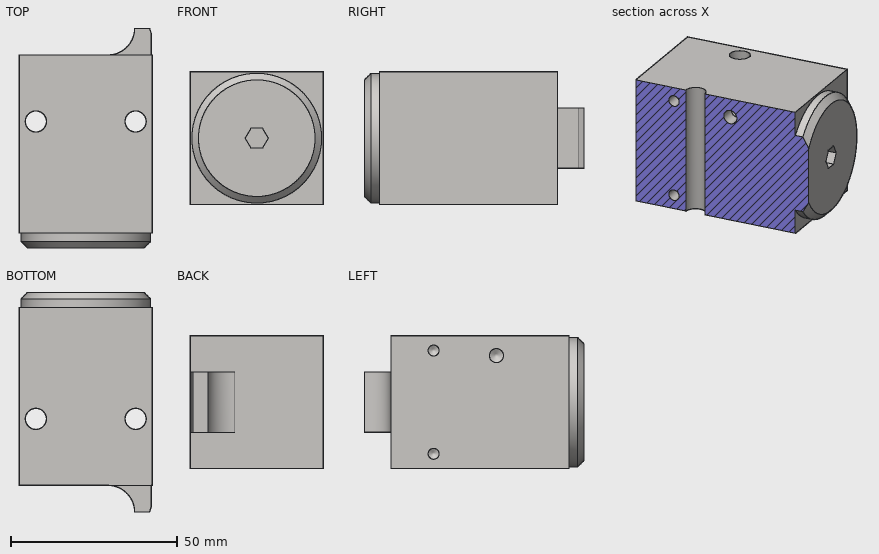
import cadquery as cq
import math

block_side = 40.0
half_side = block_side / 2
total_length = 66.0
nose_length = 8.0
cap_length = 4.5
block_length = total_length - nose_length - cap_length

cap_diameter = 39.0
cap_chamfer = 2.0
socket_flats = 6.0
socket_depth = 5.0

nose_height = 18.15
nose_inner_x = 14.65
nose_outer_x = 19.75
nose_bevel_width = 0.5
nose_bevel_length = 1.65

mount_diameter = 6.3
mount_offset = 15.0
mount_setback = 20.0

drill_depth = 9.9
drill_point_angle = 118.0
pin_setback = 12.8
pin_height = 15.5
pin_diameter = 3.3
port_setback = 31.7
port_height = 14.0
port_diameter = 4.2


def make_block():
    return cq.Workplane("XY").box(block_side, block_length, block_side).translate((0, -block_length / 2, 0))


def make_cap():
    front_face = cq.Workplane("XZ", origin=(0, -block_length, 0))
    cap = front_face.circle(cap_diameter / 2).extrude(cap_length)
    return cap.faces("<Y").chamfer(cap_chamfer)


def make_socket():
    across_corners = socket_flats / math.cos(math.radians(30))
    cap_face = cq.Workplane("XZ", origin=(0, -block_length - cap_length, 0))
    return cap_face.polygon(6, across_corners).extrude(-socket_depth)


def make_nose():
    arc_start_x = nose_inner_x - nose_length
    arc_mid_x = arc_start_x + nose_length * math.sin(math.radians(45))
    arc_mid_y = nose_length * (1 - math.cos(math.radians(45)))
    return (
        cq.Workplane("XY", origin=(0, 0, -nose_height / 2))
        .moveTo(arc_start_x, 0)
        .threePointArc((arc_mid_x, arc_mid_y), (nose_inner_x, nose_length))
        .lineTo(nose_outer_x - nose_bevel_width, nose_length)
        .lineTo(nose_outer_x, nose_length - nose_bevel_length)
        .lineTo(nose_outer_x, 0)
        .close()
        .extrude(nose_height)
    )


def make_mount_holes():
    return (
        cq.Workplane("XY", origin=(0, 0, -half_side))
        .pushPoints([(-mount_offset, -mount_setback), (mount_offset, -mount_setback)])
        .circle(mount_diameter / 2)
        .extrude(block_side)
    )


def make_drilled_hole(setback, height, diameter):
    radius = diameter / 2
    point_length = radius / math.tan(math.radians(drill_point_angle / 2))
    return (
        cq.Workplane("XY")
        .polyline([(0, 0), (drill_depth + point_length, 0), (drill_depth, radius), (0, radius)])
        .close()
        .revolve(360, (0, 0, 0), (1, 0, 0))
        .translate((-half_side, -setback, height))
    )


part = make_block().union(make_cap()).union(make_nose())
part = part.cut(make_socket()).cut(make_mount_holes())
for pin_z in (-pin_height, pin_height):
    part = part.cut(make_drilled_hole(pin_setback, pin_z, pin_diameter))
part = part.cut(make_drilled_hole(port_setback, port_height, port_diameter))

result = part.translate((0, total_length / 2 - nose_length, 0))